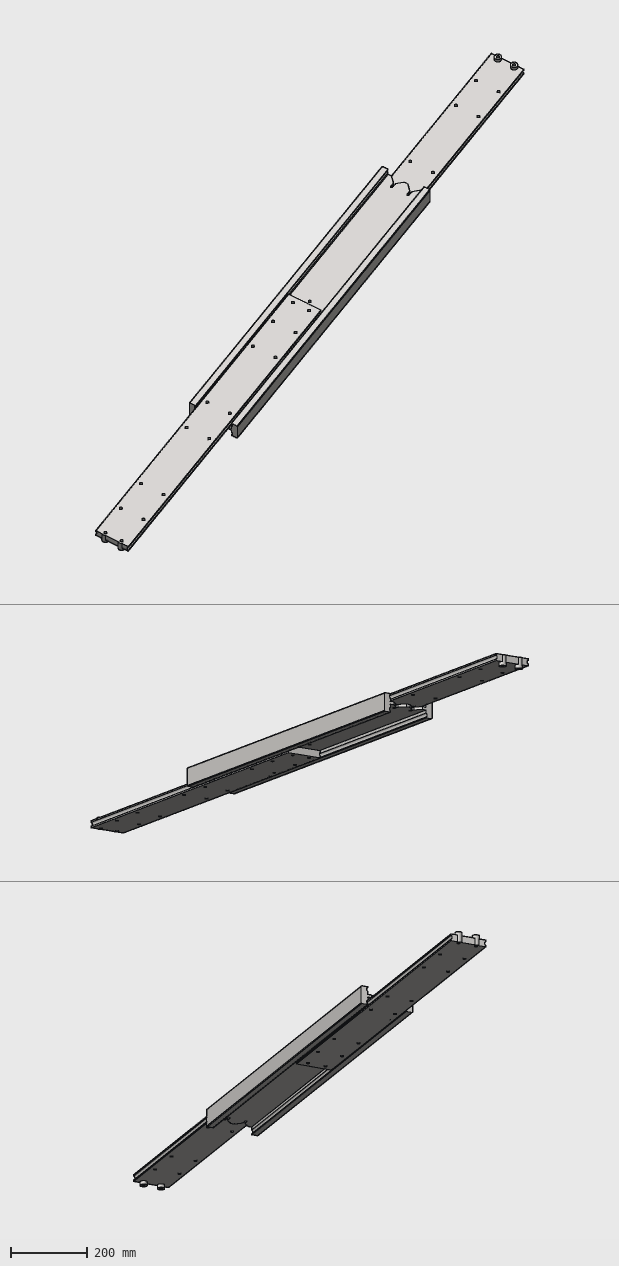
import cadquery as cq

TOTAL_LENGTH = 1950.0
WIDTH = 150.0
HEIGHT = 55.0

PROFILE_LENGTH = 948.0
PROFILE_HEIGHT = 50.0
CHANNEL_WIDTH = 111.0
WEB_THICKNESS = 8.0
WALL_CHAMFER = 2.0

RAIL_LENGTH = PROFILE_LENGTH
RAIL_WIDTH = 101.0
RAIL_HEIGHT = 20.0
RAIL_Z = (HEIGHT - RAIL_HEIGHT) / 2
BALL_RADIUS = 5.0
BALL_X = (CHANNEL_WIDTH + RAIL_WIDTH) / 4

STOP_X = 25.0
STOP_DIAMETER = 20.0
STOP_OVERHANG = 2.0
STOP_RISE = 10.0
NOTCH_MOUTH = 39.0
NOTCH_SLOT = 5.0
NOTCH_DEPTH = 33.0

HOLE_DIAMETER = 8.0
MOUNT_HOLE_X = 35.0
MOUNT_HOLE_YS = (50.0, 275.0, 375.0)
END_HOLE_INSET = 18.0

TRAVEL = (TOTAL_LENGTH - RAIL_LENGTH) / 2 - STOP_OVERHANG
SIDES = (-1, 1)


def long_bar(width, length, height):
    return cq.Workplane("XY").box(width, length, height)


def through_holes(points):
    return cq.Workplane("XY").pushPoints(points).circle(HOLE_DIAMETER / 2).extrude(HEIGHT, both=True)


def ball_grooves(z, length):
    """Round cutters along the middle of the gaps between a rail and the walls beside it."""
    centres = [(side * BALL_X, z) for side in SIDES]
    return cq.Workplane("XZ").pushPoints(centres).circle(BALL_RADIUS).extrude(length / 2, both=True)


def stop_notch(x, side):
    """Funnel that narrows at 45 degrees into a round-ended slot, at one end of the web."""
    mouth = NOTCH_MOUTH / 2
    slot = NOTCH_SLOT / 2
    end_y = PROFILE_LENGTH / 2
    neck_y = end_y - (mouth - slot)
    tip_y = end_y - NOTCH_DEPTH
    return (
        cq.Workplane("XY")
        .moveTo(x - mouth, side * end_y)
        .lineTo(x - slot, side * neck_y)
        .lineTo(x - slot, side * (tip_y + slot))
        .threePointArc((x, side * tip_y), (x + slot, side * (tip_y + slot)))
        .lineTo(x + slot, side * neck_y)
        .lineTo(x + mouth, side * end_y)
        .close()
        .extrude(WEB_THICKNESS, both=True)
    )


def make_profile():
    channel_depth = (PROFILE_HEIGHT - WEB_THICKNESS) / 2
    channel_z = (PROFILE_HEIGHT - channel_depth) / 2
    channel = long_bar(CHANNEL_WIDTH, PROFILE_LENGTH, channel_depth)

    body = long_bar(WIDTH, PROFILE_LENGTH, PROFILE_HEIGHT).edges("|Y").chamfer(WALL_CHAMFER)
    for side in SIDES:
        body = body.cut(channel.translate((0, 0, side * channel_z)))
        body = body.cut(ball_grooves(side * RAIL_Z, PROFILE_LENGTH))
        for x in (-STOP_X, STOP_X):
            body = body.cut(stop_notch(x, side))
    return body.cut(through_holes([(0, 0)]))


def make_rail():
    """Lower rail, drawn out toward +Y."""
    outer_end = RAIL_LENGTH / 2
    stop_points = [(side * STOP_X, outer_end + STOP_OVERHANG - STOP_DIAMETER / 2) for side in SIDES]
    end_points = [(side * STOP_X, END_HOLE_INSET - outer_end) for side in SIDES]
    mount_points = [
        (side * MOUNT_HOLE_X, end * y) for side in SIDES for end in SIDES for y in MOUNT_HOLE_YS
    ]
    stops = (
        cq.Workplane("XY", origin=(0, 0, -HEIGHT / 2))
        .pushPoints(stop_points)
        .circle(STOP_DIAMETER / 2)
        .extrude(RAIL_HEIGHT + STOP_RISE)
    )
    return (
        long_bar(RAIL_WIDTH, RAIL_LENGTH, RAIL_HEIGHT)
        .translate((0, 0, -RAIL_Z))
        .cut(ball_grooves(-RAIL_Z, RAIL_LENGTH))
        .union(stops)
        .cut(through_holes(stop_points + end_points + mount_points))
        .translate((0, TRAVEL, 0))
    )


profile = make_profile()

rails = [make_rail().rotate((0, 0, 0), (1, 0, 0), angle) for angle in (0, 180)]

result = cq.Compound.makeCompound([profile.val(), *[rail.val() for rail in rails]])